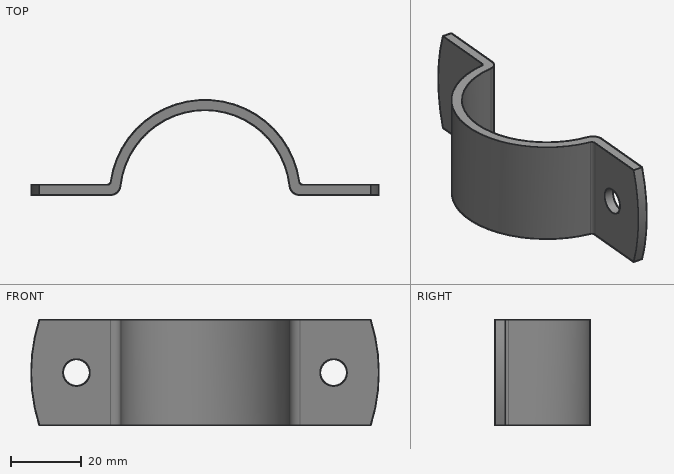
import cadquery as cq
import math

length = 98.8
width = 30.0
thickness = 3.0
saddle_radius = 27.1
inside_bend_radius = 1.0
outside_bend_radius = 3.0
hole_diameter = 7.5
hole_spacing = 73.0

half_length = length / 2
bore_radius = saddle_radius - thickness


def saddle_strip(arc_radius, bend_radius, foot_y):
    """Solid below one face of the strap: a half-round blended into two flat feet.

    Each bend is tangent to the foot face at foot_y and to the half-round face.
    """
    bend_y = foot_y + bend_radius
    bend_distance = arc_radius + bend_radius
    bend_x = math.sqrt(bend_distance**2 - bend_y**2)
    start_angle = math.asin(bend_y / bend_distance)
    middle_angle = (start_angle + math.pi / 2) / 2

    arc_end = (arc_radius * math.cos(start_angle), arc_radius * math.sin(start_angle))
    bend_middle = (
        bend_x - bend_radius * math.cos(middle_angle),
        bend_y - bend_radius * math.sin(middle_angle),
    )
    floor_y = -thickness
    return (
        cq.Workplane("XY")
        .moveTo(-half_length, foot_y)
        .lineTo(-bend_x, foot_y)
        .threePointArc((-bend_middle[0], bend_middle[1]), (-arc_end[0], arc_end[1]))
        .threePointArc((0, arc_radius), arc_end)
        .threePointArc(bend_middle, (bend_x, foot_y))
        .lineTo(half_length, foot_y)
        .lineTo(half_length, floor_y)
        .lineTo(-half_length, floor_y)
        .close()
        .extrude(width / 2, both=True)
    )


outer_body = saddle_strip(saddle_radius, inside_bend_radius, thickness)
inner_body = saddle_strip(bore_radius, outside_bend_radius, 0)
strap = outer_body.cut(inner_body)

end_disc = cq.Workplane("XZ").circle(half_length).extrude(saddle_radius * 2, both=True)
strap = strap.intersect(end_disc)

holes = (
    cq.Workplane("XZ")
    .pushPoints([(side * hole_spacing / 2, 0) for side in (-1, 1)])
    .circle(hole_diameter / 2)
    .extrude(thickness * 2, both=True)
)
result = strap.cut(holes)